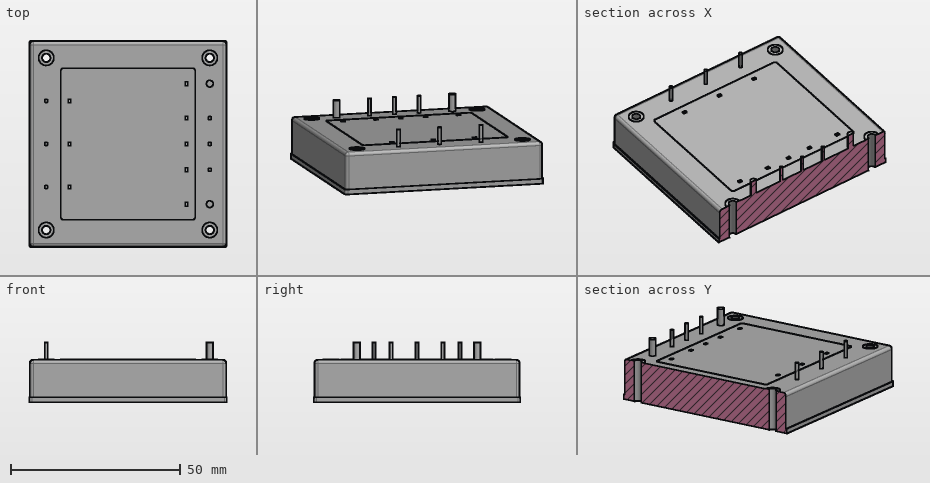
import cadquery as cq

flange_length_x = 58.4
flange_length_y = 61.0
flange_height = 1.5
flange_corner_radius = 0.8
flange_overhang = 0.2
case_length_x = flange_length_x - 2 * flange_overhang
case_length_y = flange_length_y - 2 * flange_overhang
case_edge_radius = 1.0

overall_height = 17.7
raised_top = 12.7
relief_height = 0.1
case_top = raised_top - relief_height
embed_depth = 0.1
feature_base = case_top - embed_depth

panel_length_x = 39.6
panel_length_y = 44.7
panel_corner_radius = 0.7
marker_size_x = 0.8
marker_size_y = 1.1
marker_depth = 0.1
marker_x = 17.3

pin_pitch = 2.54
column_x = 9.5 * pin_pitch
mount_y = 10 * pin_pitch
mount_hole_diameter = 2.4
mount_ring_diameter = 4.5

signal_pin_diameter = 1.0
power_pin_diameter = 2.0
input_pin_rows = [-5 * pin_pitch, 0, 5 * pin_pitch]
sense_pin_rows = [-3 * pin_pitch, 0, 3 * pin_pitch]
power_pin_rows = [-7 * pin_pitch, 7 * pin_pitch]
input_pins = [(-column_x, y) for y in input_pin_rows]
sense_pins = [(column_x, y) for y in sense_pin_rows]
power_pins = [(column_x, y) for y in power_pin_rows]
mount_points = [(x, y) for x in (-column_x, column_x) for y in (-mount_y, mount_y)]


def rounded_block(length_x, length_y, bottom, top, corner_radius):
    """Upright block centred on the Z axis with rounded vertical edges."""
    block = cq.Workplane("XY").workplane(offset=bottom).rect(length_x, length_y).extrude(top - bottom)
    return block.edges("|Z").fillet(corner_radius)


def cylinders(points, diameter, bottom, top):
    """Upright cylinders of one diameter at the given points."""
    plane = cq.Workplane("XY").workplane(offset=bottom)
    return plane.pushPoints(points).circle(diameter / 2).extrude(top - bottom)


def make_case():
    """Base flange and the case with rounded vertical and top edges."""
    flange = rounded_block(flange_length_x, flange_length_y, 0, flange_height, flange_corner_radius)
    case = cq.Workplane("XY").rect(case_length_x, case_length_y).extrude(case_top)
    case = case.edges("|Z or >Z").fillet(case_edge_radius)
    return flange.union(case)


def make_marker_recesses():
    """Small rectangular recesses in the panel, one beside each pin."""
    left = [(-marker_x, y) for y in input_pin_rows]
    right = [(marker_x, y) for y in sense_pin_rows + power_pin_rows]
    plane = cq.Workplane("XY").workplane(offset=raised_top)
    return plane.pushPoints(left + right).rect(marker_size_x, marker_size_y).extrude(-marker_depth)


panel = rounded_block(panel_length_x, panel_length_y, feature_base, raised_top, panel_corner_radius)
mount_rings = cylinders(mount_points, mount_ring_diameter, feature_base, raised_top)
mount_holes = cylinders(mount_points, mount_hole_diameter, 0, raised_top)
signal_pins = cylinders(input_pins + sense_pins, signal_pin_diameter, feature_base, overall_height)
power_posts = cylinders(power_pins, power_pin_diameter, feature_base, overall_height)

result = make_case().union(panel).union(mount_rings)
result = result.cut(make_marker_recesses()).cut(mount_holes)
result = result.union(signal_pins).union(power_posts)